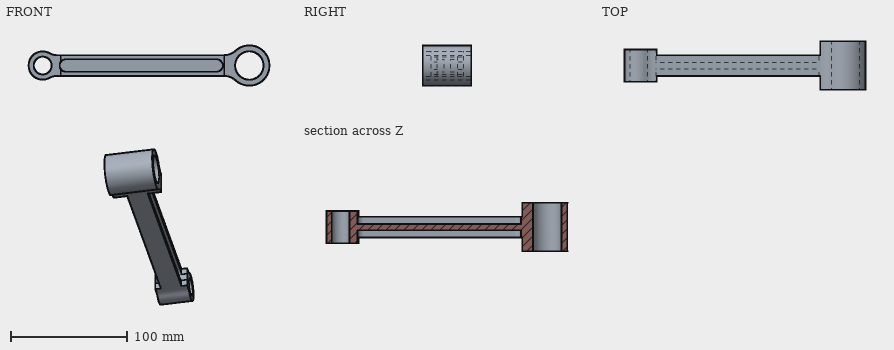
import cadquery as cq
import math

length = 207.5
small_radius = 12.2
small_bore = 15.1
small_width = 28.0
small_end_x = 27.8
large_radius = 17.5
large_bore = 24.3
large_width = 42.0

shank_height = 18.0
shank_width = 18.0
small_blend_radius = 12.0
large_blend_radius = 15.0
minimum_neck = 0.02
groove_height = 10.5
groove_start_x = 26.8
groove_end_x = 167.2
groove_depth = 6.2

small_center_x = small_radius
large_center_x = length - large_radius


def blend_reach(radius, blend_radius):
    """Distance along X from an end's center to where its blend meets the shank height."""
    blend_z = shank_height / 2 + blend_radius
    return math.sqrt((radius + blend_radius)**2 - blend_z**2)


large_end_x = large_center_x - blend_reach(large_radius, large_blend_radius)


def extrude_across(profile, width):
    """Extrude an XZ profile symmetrically about the plane Y = 0."""
    return profile.extrude(width / 2, both=True)


def bearing_end(center_x, radius, blend_radius, width, inner_x):
    """Round end blended by concave arcs into a flat inner face toward the shank."""
    toward_shank = math.copysign(1, inner_x - center_x)
    half_height = shank_height / 2
    blend_z = half_height + blend_radius
    center_distance = radius + blend_radius
    blend_dx = blend_reach(radius, blend_radius)
    tangent_dx = blend_dx * radius / center_distance
    tangent_z = blend_z * radius / center_distance

    mid_angle = math.atan2(blend_dx, blend_z) / 2
    mid_dx = blend_dx - blend_radius * math.sin(mid_angle)
    mid_z = blend_z - blend_radius * math.cos(mid_angle)

    def at(dx, z):
        return (center_x + toward_shank * dx, z)

    outline = cq.Workplane("XZ").moveTo(inner_x, -half_height)
    has_neck = abs(inner_x - center_x) - blend_dx > minimum_neck
    if has_neck:
        outline = outline.lineTo(*at(blend_dx, -half_height))
    outline = (
        outline
        .threePointArc(at(mid_dx, -mid_z), at(tangent_dx, -tangent_z))
        .threePointArc(at(-radius, 0), at(tangent_dx, tangent_z))
        .threePointArc(at(mid_dx, mid_z), at(blend_dx, half_height))
    )
    if has_neck:
        outline = outline.lineTo(inner_x, half_height)
    return extrude_across(outline.close(), width)


def bore(center_x, diameter, width):
    return extrude_across(cq.Workplane("XZ").center(center_x, 0).circle(diameter / 2), width)


def groove(side):
    """Round-ended groove cutter; its near end also nicks the small end's neck."""
    floor_y = shank_width / 2 - groove_depth
    cutter_depth = large_width / 2 - floor_y
    groove_length = groove_end_x - groove_start_x
    return (
        cq.Workplane("XZ", origin=((groove_start_x + groove_end_x) / 2, side * floor_y, 0))
        .slot2D(groove_length, groove_height)
        .extrude(-side * cutter_depth)
    )


shank = cq.Workplane("XY").box(
    large_end_x - small_end_x, shank_width, shank_height
).translate(((small_end_x + large_end_x) / 2, 0, 0))

small_end = bearing_end(small_center_x, small_radius, small_blend_radius, small_width, small_end_x)
large_end = bearing_end(large_center_x, large_radius, large_blend_radius, large_width, large_end_x)

result = shank.union(small_end).union(large_end)
result = result.cut(bore(small_center_x, small_bore, small_width))
result = result.cut(bore(large_center_x, large_bore, large_width))
for side in (-1, 1):
    result = result.cut(groove(side))